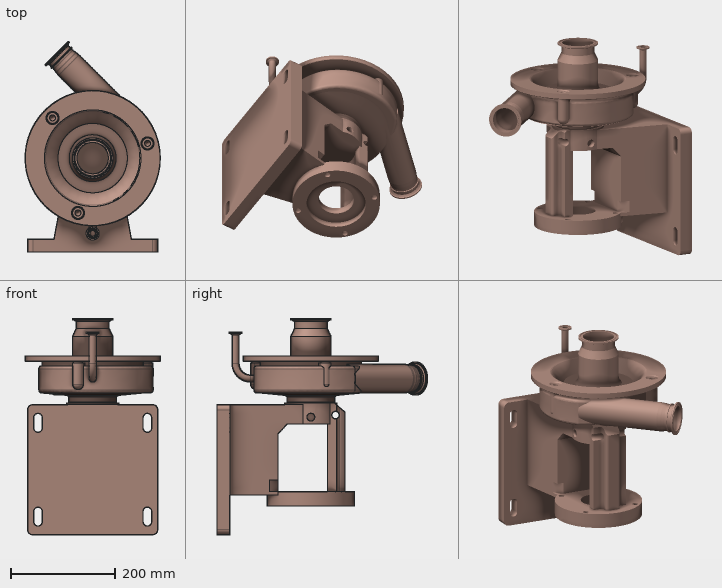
import cadquery as cq
import math


PLATE_SIZE = 250.0
PLATE_THICKNESS = 25.0
PLATE_BACK_Y = -180.6
PLATE_FRONT_Y = PLATE_BACK_Y + PLATE_THICKNESS
PLATE_CORNER_RADIUS = 10.0
SLOT_LENGTH = 36.0
SLOT_WIDTH = 16.0
SLOT_SPACING_X = 210.0
SLOT_SPACING_Z = 180.0

NECK_RADIUS = 50.5
NECK_BOTTOM_Z = 212.5
NECK_TOP_Z = 253.5
NECK_HOLE_DIAMETER = 15.0
NECK_HOLE_Z = 226.0
NECK_HOLE_DEPTH = 12.0
ARM_ROOT_Y = -14.8
ARM_ROOT_HALF_WIDTH = math.sqrt(NECK_RADIUS**2 - ARM_ROOT_Y**2)
ARM_PLATE_HALF_WIDTH = 74.5
ARM_INNER_Y = -62.7
ARM_BOTTOM_Z = 76.0
ARM_CHAMFER_Y = 17.2
ARM_CHAMFER_Z = 18.5
POST_HALF_WIDTH = 35.0
POST_INNER_Y = 31.5
POST_SHOULDER_Y = 49.3
POST_OUTER_Y = 65.6
POST_RIB_HALF_WIDTH = 15.0
POST_FILLET = 5.5
POST_BORE_RADIUS = 37.0
POST_CHAMFER_Y = 20.6
POST_CHAMFER_Z = 18.0
POST_HOLE_DIAMETER = 14.0
POST_HOLE_Y = 47.3
POST_HOLE_Z = 230.0

RING_RADIUS = 84.0
RING_BORE_RADIUS = 34.0
RING_BOTTOM_Z = 55.0
RING_SPIGOT_RADIUS = 57.0
RING_SPIGOT_DEPTH = 12.5
RING_TOP_Z = 83.0
RING_HOLE_CIRCLE_RADIUS = 75.0
RING_HOLE_DIAMETER = 11.0
RING_HOLE_ANGLES = (45, 135, 225, 315)
RELIEF_OUTER_Y = -79.2
RELIEF_HEIGHT = 22.0

FLANGE_RADIUS = 130.0
FLANGE_TOP_Z = 343.8
FLANGE_BOTTOM_Z = 333.0
FLANGE_CHAMFER = 1.0
SPIGOT_RADIUS = 97.5
CASING_TOP_Z = 324.6
CASING_BOTTOM_Z = 272.5
CASING_FILLET = 6.0
VOLUTE_START_ANGLE = 45.0
VOLUTE_SWEEP = 270.0
VOLUTE_START_RADIUS = 120.0
VOLUTE_END_RADIUS = 102.0
VOLUTE_EASING = 1.3
VOLUTE_STEPS = 6
BACK_CONE_RADIUS = 100.0
BACK_HUB_RADIUS = 49.0
BACK_HUB_Z = 267.5
SEAL_RADIUS = 46.2
SEAL_CHAMFER = 1.5

DISH_RIM_RADIUS = 92.8
DISH_CONE_RADIUS = 90.5
DISH_RIM_DEPTH = 1.0
DISH_FLOOR_RADIUS = 66.7
DISH_FLOOR_Z = 321.5
INLET_BODY_RADIUS = 39.0
INLET_ROOT_RADIUS = 45.0
INLET_ROOT_HEIGHT = 12.5
INLET_ROOT_ARC = 15.0
INLET_CONE_BOTTOM_Z = 381.0
INLET_CONE_TOP_Z = 396.0
INLET_TUBE_RADIUS = 31.75
INLET_BORE_RADIUS = 30.1
INLET_FERRULE_RADIUS = 38.75
INLET_TOP_Z = 415.0
INLET_BORE_BOTTOM_Z = 300.0

FERRULE_RIM = 2.8
FERRULE_TAPER = 2.6
FERRULE_GROOVE_INSET = 2.7
FERRULE_GROOVE_WIDTH = 2.0
FERRULE_GROOVE_DEPTH = 1.0

PORT_Z = 300.0
OUTLET_OFFSET = 93.7
OUTLET_REACH = 191.5
OUTLET_DIRECTION_ANGLE = 135.0
OUTLET_BODY_RADIUS = 28.0
OUTLET_TUBE_RADIUS = 26.0
OUTLET_MID_RADIUS = 27.2
OUTLET_WALL = 1.8
OUTLET_FERRULE_RADIUS = 32.0
OUTLET_TUBE_LENGTH = 18.0
OUTLET_CONE_LENGTH = 14.8
OUTLET_BEAD_RADIUS = 28.0
OUTLET_BEAD_WIDTH = 2.0
OUTLET_BEAD_DISTANCE = 13.0

DRAIN_RADIUS = 7.0
DRAIN_BORE_RADIUS = 5.5
DRAIN_BEND_RADIUS = 29.0
DRAIN_Y = -144.6
DRAIN_TOP_Z = 389.0
DRAIN_ROOT_Y = -95.0
DRAIN_FERRULE_RADIUS = 12.6

SCREW_CIRCLE_RADIUS = 109.0
SCREW_ANGLES = (15.0, 135.0, 255.0)
RECESS_RADIUS = 12.5
RECESS_FLOOR_RADIUS = 10.5
RECESS_DEPTH = 2.0
SOCKET_RADIUS = 5.6
SOCKET_DEPTH = 9.0
LUG_RADIUS = 10.5
LUG_TOP_Z = 329.6
LUG_BOTTOM_Z = 279.0
LUG_DOME_RADIUS = 10.0
LUG_WEB_INNER_RADIUS = 92.0
SPACER_RADIUS = 8.3


def cylinder(radius, bottom_z, top_z):
    return cq.Workplane("XY").workplane(offset=bottom_z).circle(radius).extrude(top_z - bottom_z)


def revolve_about_z(points):
    """Revolve a closed (radius, z) outline about the Z axis."""
    return cq.Workplane("XZ").polyline(points).close().revolve(360, (0, 0, 0), (0, 1, 0))


def polar(radius, angle_deg):
    angle = math.radians(angle_deg)
    return (radius * math.cos(angle), radius * math.sin(angle))


def ferrule_points(tube_radius, rim_radius, face_z):
    """(radius, z) points of a clamp ferrule, from the tube up to the gasket groove in its face."""
    groove_outer = rim_radius - FERRULE_GROOVE_INSET
    groove_inner = groove_outer - FERRULE_GROOVE_WIDTH
    groove_floor_z = face_z - FERRULE_GROOVE_DEPTH
    rim_bottom_z = face_z - FERRULE_RIM
    taper_bottom_z = rim_bottom_z - FERRULE_TAPER
    return [
        (tube_radius, taper_bottom_z),
        (rim_radius - FERRULE_TAPER, rim_bottom_z),
        (rim_radius, rim_bottom_z),
        (rim_radius, face_z),
        (groove_outer, face_z),
        (groove_outer, groove_floor_z),
        (groove_inner, groove_floor_z),
        (groove_inner, face_z),
    ]


def make_plate():
    centre_z = PLATE_SIZE / 2
    plate = (
        cq.Workplane("XY")
        .box(PLATE_SIZE, PLATE_THICKNESS, PLATE_SIZE)
        .edges("|Y")
        .fillet(PLATE_CORNER_RADIUS)
    )
    slots = (
        cq.Workplane("XZ")
        .rarray(SLOT_SPACING_X, SLOT_SPACING_Z, 2, 2)
        .slot2D(SLOT_LENGTH, SLOT_WIDTH, 90)
        .extrude(PLATE_THICKNESS, both=True)
    )
    return plate.cut(slots).translate((0, PLATE_BACK_Y + PLATE_THICKNESS / 2, centre_z))


def make_arm():
    """Tapered arm from the plate to the neck, with a chamfered window below the neck."""
    side = (
        cq.Workplane("YZ")
        .moveTo(PLATE_FRONT_Y, PLATE_SIZE)
        .lineTo(ARM_ROOT_Y, PLATE_SIZE)
        .lineTo(ARM_ROOT_Y, NECK_BOTTOM_Z)
        .lineTo(ARM_INNER_Y + ARM_CHAMFER_Y, NECK_BOTTOM_Z)
        .lineTo(ARM_INNER_Y, NECK_BOTTOM_Z - ARM_CHAMFER_Z)
        .lineTo(ARM_INNER_Y, ARM_BOTTOM_Z)
        .lineTo(PLATE_FRONT_Y, ARM_BOTTOM_Z)
        .close()
        .extrude(ARM_PLATE_HALF_WIDTH, both=True)
    )
    plan = (
        cq.Workplane("XY")
        .moveTo(-ARM_PLATE_HALF_WIDTH, PLATE_FRONT_Y)
        .lineTo(-ARM_ROOT_HALF_WIDTH, ARM_ROOT_Y)
        .lineTo(ARM_ROOT_HALF_WIDTH, ARM_ROOT_Y)
        .lineTo(ARM_PLATE_HALF_WIDTH, PLATE_FRONT_Y)
        .close()
        .extrude(PLATE_SIZE)
    )
    return side.intersect(plan).cut(make_reliefs())


def make_reliefs():
    """Diagonal corner cuts that clear the two ring bolts next to the arm."""
    taper = (ARM_PLATE_HALF_WIDTH - ARM_ROOT_HALF_WIDTH) / (ARM_ROOT_Y - PLATE_FRONT_Y)
    outer_x = ARM_ROOT_HALF_WIDTH + taper * (ARM_ROOT_Y - RELIEF_OUTER_Y)
    inner_x = outer_x - (ARM_INNER_Y - RELIEF_OUTER_Y)
    relief = (
        cq.Workplane("XY")
        .workplane(offset=RING_TOP_Z)
        .moveTo(outer_x, RELIEF_OUTER_Y)
        .lineTo(outer_x, ARM_INNER_Y)
        .lineTo(inner_x, ARM_INNER_Y)
        .close()
        .extrude(RELIEF_HEIGHT)
    )
    return relief.union(relief.mirror("YZ"))


def make_neck():
    neck = cylinder(NECK_RADIUS, NECK_BOTTOM_Z, NECK_TOP_Z)
    for side in (-1, 1):
        hole = (
            cq.Workplane("YZ")
            .workplane(offset=side * NECK_RADIUS)
            .center(0, NECK_HOLE_Z)
            .circle(NECK_HOLE_DIAMETER / 2)
            .extrude(-side * NECK_HOLE_DEPTH)
        )
        neck = neck.cut(hole)
    return neck


def make_post():
    """Rear post (wide inner pad, narrower rounded outer rib), and its cross hole as a cutter."""
    height = NECK_TOP_Z - RING_TOP_Z
    base = cq.Workplane("XY").workplane(offset=RING_TOP_Z)
    pad_depth = POST_SHOULDER_Y - POST_INNER_Y
    rib_depth = POST_OUTER_Y - POST_INNER_Y
    pad = (
        base.center(0, POST_INNER_Y + pad_depth / 2)
        .rect(2 * POST_HALF_WIDTH, pad_depth)
        .extrude(height)
    )
    rib = (
        base.center(0, POST_INNER_Y + rib_depth / 2)
        .rect(2 * POST_RIB_HALF_WIDTH, rib_depth)
        .extrude(height)
    )
    rib_corners = cq.selectors.BoxSelector(
        (-2 * POST_RIB_HALF_WIDTH, POST_INNER_Y + pad_depth / 2, 0),
        (2 * POST_RIB_HALF_WIDTH, 2 * POST_OUTER_Y, 2 * NECK_TOP_Z),
    )
    post = pad.union(rib).edges("|Z").edges(rib_corners).fillet(POST_FILLET)
    top_slope = (
        cq.Workplane("YZ")
        .moveTo(POST_OUTER_Y - POST_CHAMFER_Y, NECK_TOP_Z)
        .lineTo(POST_OUTER_Y, NECK_TOP_Z)
        .lineTo(POST_OUTER_Y, NECK_TOP_Z - POST_CHAMFER_Z)
        .close()
        .extrude(POST_HALF_WIDTH, both=True)
    )
    cross_hole = (
        cq.Workplane("YZ")
        .center(POST_HOLE_Y, POST_HOLE_Z)
        .circle(POST_HOLE_DIAMETER / 2)
        .extrude(POST_HALF_WIDTH, both=True)
    )
    bore = cylinder(POST_BORE_RADIUS, RING_TOP_Z, NECK_BOTTOM_Z)
    return post.cut(top_slope).cut(bore), cross_hole


def make_ring():
    """Motor ring with a spigot seat underneath, and its bolt holes as a separate cutter."""
    hole_centres = [polar(RING_HOLE_CIRCLE_RADIUS, angle) for angle in RING_HOLE_ANGLES]
    height = RING_TOP_Z - RING_BOTTOM_Z
    holes = (
        cq.Workplane("XY")
        .workplane(offset=RING_BOTTOM_Z)
        .pushPoints(hole_centres)
        .circle(RING_HOLE_DIAMETER / 2)
        .extrude(height)
    )
    bore = cylinder(RING_BORE_RADIUS, RING_BOTTOM_Z, RING_TOP_Z)
    spigot_seat = cylinder(RING_SPIGOT_RADIUS, RING_BOTTOM_Z, RING_BOTTOM_Z + RING_SPIGOT_DEPTH)
    return cylinder(RING_RADIUS, RING_BOTTOM_Z, RING_TOP_Z).cut(bore).cut(spigot_seat), holes


def make_bracket():
    post, cross_hole = make_post()
    ring, ring_holes = make_ring()
    bracket = make_plate().union(make_arm()).union(make_neck()).union(post).union(ring)
    return bracket.cut(cross_hole).cut(ring_holes)


def make_volute():
    """Spiral casing whose radius falls ever more gently, clockwise from the outlet."""
    points = []
    for step in range(VOLUTE_STEPS + 1):
        share = step / VOLUTE_STEPS
        excess = (VOLUTE_START_RADIUS - VOLUTE_END_RADIUS) * (1 - share) ** VOLUTE_EASING
        radius = VOLUTE_END_RADIUS + excess
        points.append(polar(radius, VOLUTE_START_ANGLE - share * VOLUTE_SWEEP))
    closing_angle = VOLUTE_START_ANGLE + (360 - VOLUTE_SWEEP) / 2
    return (
        cq.Workplane("XY")
        .workplane(offset=CASING_BOTTOM_Z)
        .moveTo(*points[0])
        .spline(points[1:], includeCurrent=True)
        .threePointArc(polar(VOLUTE_END_RADIUS, closing_angle), points[0])
        .close()
        .extrude(CASING_TOP_Z - CASING_BOTTOM_Z)
        .faces("<Z or >Z")
        .edges()
        .fillet(CASING_FILLET)
    )


def make_cover():
    """Flange and spigot, with the conical back and the seal housing below them."""
    flange = cylinder(FLANGE_RADIUS, FLANGE_BOTTOM_Z, FLANGE_TOP_Z)
    flange = flange.faces("<Z").edges().chamfer(FLANGE_CHAMFER)
    spigot = cylinder(SPIGOT_RADIUS, CASING_BOTTOM_Z, FLANGE_BOTTOM_Z)
    back = revolve_about_z([
        (0, CASING_BOTTOM_Z),
        (BACK_CONE_RADIUS, CASING_BOTTOM_Z),
        (BACK_HUB_RADIUS, BACK_HUB_Z),
        (SEAL_RADIUS, BACK_HUB_Z - (BACK_HUB_RADIUS - SEAL_RADIUS)),
        (SEAL_RADIUS, NECK_TOP_Z + SEAL_CHAMFER),
        (SEAL_RADIUS - SEAL_CHAMFER, NECK_TOP_Z),
        (0, NECK_TOP_Z),
    ])
    return flange.union(spigot).union(back)


def make_dish():
    """Conical recess sunk into the flange and casing around the inlet."""
    return revolve_about_z([
        (0, FLANGE_TOP_Z),
        (DISH_RIM_RADIUS, FLANGE_TOP_Z),
        (DISH_CONE_RADIUS, FLANGE_TOP_Z - DISH_RIM_DEPTH),
        (DISH_FLOOR_RADIUS, DISH_FLOOR_Z),
        (0, DISH_FLOOR_Z),
    ])


def make_inlet():
    """Inlet pipe with a flared root, and its bore as a cutter."""
    root_top_z = DISH_FLOOR_Z + INLET_ROOT_HEIGHT
    outline = (
        cq.Workplane("XZ")
        .moveTo(0, DISH_FLOOR_Z)
        .lineTo(INLET_ROOT_RADIUS, DISH_FLOOR_Z)
        .radiusArc((INLET_BODY_RADIUS, root_top_z), INLET_ROOT_ARC)
        .lineTo(INLET_BODY_RADIUS, INLET_CONE_BOTTOM_Z)
        .lineTo(INLET_TUBE_RADIUS, INLET_CONE_TOP_Z)
    )
    for point in ferrule_points(INLET_TUBE_RADIUS, INLET_FERRULE_RADIUS, INLET_TOP_Z):
        outline = outline.lineTo(*point)
    inlet = outline.lineTo(0, INLET_TOP_Z).close().revolve(360, (0, 0, 0), (0, 1, 0))
    return inlet, cylinder(INLET_BORE_RADIUS, INLET_BORE_BOTTOM_Z, INLET_TOP_Z)


def place_outlet(shape):
    """Lay a shape built along +Z onto the tangential outlet axis."""
    turned = shape.rotate((0, 0, 0), (0, 1, 0), 90)
    shifted = turned.translate((0, -OUTLET_OFFSET, PORT_Z))
    return shifted.rotate((0, 0, 0), (0, 0, 1), OUTLET_DIRECTION_ANGLE)


def make_outlet():
    """Tangential outlet pipe with a reducer and weld bead, and its bore as a cutter."""
    cone_top = OUTLET_REACH - OUTLET_TUBE_LENGTH
    cone_bottom = cone_top - OUTLET_CONE_LENGTH
    points = [
        (0, 0),
        (OUTLET_BODY_RADIUS, 0),
        (OUTLET_BODY_RADIUS, cone_bottom),
        (OUTLET_MID_RADIUS, (cone_bottom + cone_top) / 2),
        (OUTLET_TUBE_RADIUS, cone_top),
    ]
    points += ferrule_points(OUTLET_TUBE_RADIUS, OUTLET_FERRULE_RADIUS, OUTLET_REACH)
    points.append((0, OUTLET_REACH))
    bead_middle = OUTLET_REACH - OUTLET_BEAD_DISTANCE
    half_bead = OUTLET_BEAD_WIDTH / 2
    bead = cylinder(OUTLET_BEAD_RADIUS, bead_middle - half_bead, bead_middle + half_bead)
    bore = revolve_about_z([
        (0, 0),
        (OUTLET_BODY_RADIUS - OUTLET_WALL, 0),
        (OUTLET_BODY_RADIUS - OUTLET_WALL, cone_bottom),
        (OUTLET_TUBE_RADIUS - OUTLET_WALL, cone_top),
        (OUTLET_TUBE_RADIUS - OUTLET_WALL, OUTLET_REACH),
        (0, OUTLET_REACH),
    ])
    return place_outlet(revolve_about_z(points).union(bead)), place_outlet(bore)


def sweep_drain(radius):
    """Round bar along the drain path: level out of the casing, then up through the bend."""
    bend_start_y = DRAIN_Y + DRAIN_BEND_RADIUS
    bend_end_z = PORT_Z + DRAIN_BEND_RADIUS
    path = (
        cq.Workplane("YZ")
        .moveTo(DRAIN_ROOT_Y, PORT_Z)
        .lineTo(bend_start_y, PORT_Z)
        .tangentArcPoint((DRAIN_Y, bend_end_z), relative=False)
        .lineTo(DRAIN_Y, DRAIN_TOP_Z)
    )
    return cq.Workplane("XZ", origin=(0, DRAIN_ROOT_Y, PORT_Z)).circle(radius).sweep(path)


def make_drain():
    """Bent drain pipe with a small ferrule, and its bore as a cutter."""
    points = ferrule_points(DRAIN_RADIUS, DRAIN_FERRULE_RADIUS, DRAIN_TOP_Z)
    ferrule = revolve_about_z([(0, points[0][1])] + points + [(0, DRAIN_TOP_Z)])
    pipe = sweep_drain(DRAIN_RADIUS).union(ferrule.translate((0, DRAIN_Y, 0)))
    return pipe, sweep_drain(DRAIN_BORE_RADIUS)


def make_lug():
    """Domed screw lug for the +X side, with a web that runs inward into the casing."""
    lug = cylinder(LUG_RADIUS, LUG_BOTTOM_Z, LUG_TOP_Z).faces("<Z").edges().fillet(LUG_DOME_RADIUS)
    web_length = SCREW_CIRCLE_RADIUS - LUG_WEB_INNER_RADIUS
    web_bottom_z = LUG_BOTTOM_Z + LUG_DOME_RADIUS
    web = (
        cq.Workplane("XY")
        .workplane(offset=web_bottom_z)
        .center(-web_length / 2, 0)
        .rect(web_length, 2 * LUG_RADIUS)
        .extrude(LUG_TOP_Z - web_bottom_z)
    )
    return lug.union(web).union(cylinder(SPACER_RADIUS, LUG_TOP_Z, FLANGE_BOTTOM_Z))


def make_screw_recess():
    """Tapered recess in the flange with a conical socket in its floor."""
    floor_z = FLANGE_TOP_Z - RECESS_DEPTH
    return revolve_about_z([
        (0, FLANGE_TOP_Z),
        (RECESS_RADIUS, FLANGE_TOP_Z),
        (RECESS_FLOOR_RADIUS, floor_z),
        (SOCKET_RADIUS, floor_z),
        (0, floor_z - SOCKET_DEPTH),
    ])


def place_at_screw(shape, angle):
    return shape.translate((SCREW_CIRCLE_RADIUS, 0, 0)).rotate((0, 0, 0), (0, 0, 1), angle)


def make_pump():
    inlet, inlet_bore = make_inlet()
    outlet, outlet_bore = make_outlet()
    drain, drain_bore = make_drain()
    pump = make_volute().union(make_cover()).cut(make_dish()).union(inlet).union(outlet).union(drain)
    for angle in SCREW_ANGLES:
        pump = pump.union(place_at_screw(make_lug(), angle))
        pump = pump.cut(place_at_screw(make_screw_recess(), angle))
    return pump.cut(inlet_bore).cut(outlet_bore).cut(drain_bore)


result = make_bracket().union(make_pump())